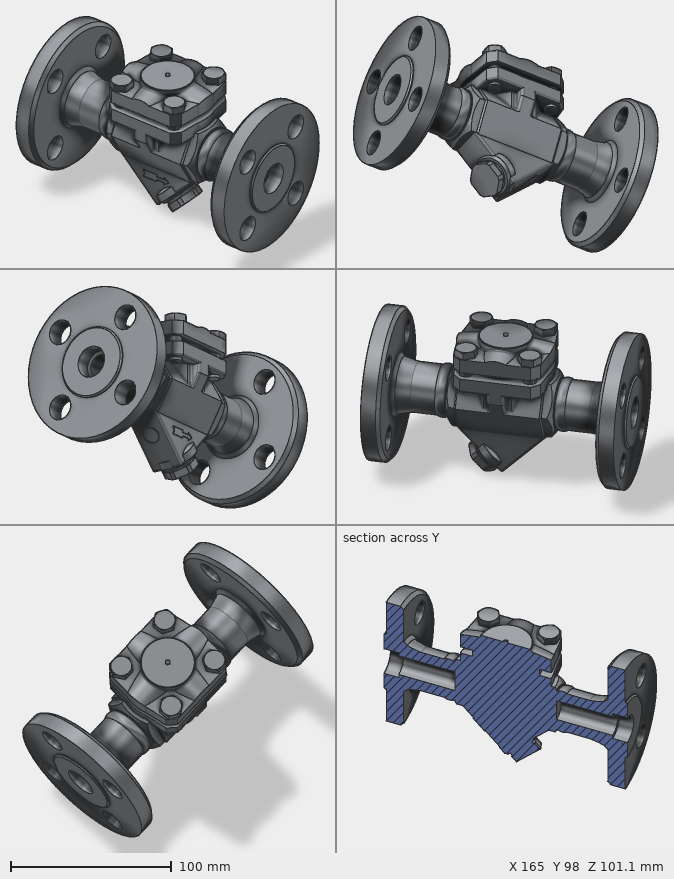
import cadquery as cq
import math

tolerance = 0.01

face_to_face = 165.0
flange_diameter = 98.0
flange_thickness = 12.0
flange_chamfer = 2.3
raised_face_diameter = 45.8
raised_face_height = 1.5
raised_face_chamfer = 1.0
flange_hole_diameter = 16.0
flange_hole_pitch = 49.5
bore_diameter = 20.0
bore_depth = 10.0
inner_bore_diameter = 15.0
neck_diameter = 32.0
neck_start = 41.6
hub_start = 57.2
hub_end = 66.6
hub_radius = 18.2
hub_mid_radius = 16.8
hub_root_radius = 20.5
bead_diameter = 34.0
bead_end = 35.2

end_hex_flats = 37.0
end_hex_half_length = 34.5
end_hex_face_radius = 16.9
end_hex_chamfer_length = 3.0
body_hex_flats = 39.2
body_half_length = 27.9
body_chamfer = 1.1
body_hex_corner = body_hex_flats / math.sqrt(3)
wedge_half_thickness = 11.2
wedge_reach = 47.6
wedge_edge_fillet = 1.4
pad_diameter = 10.8
pad_height = 0.7
pad_offset = 8.5

plate_half_width = 28.0
plate_half_length = 27.9
plate_corner = 5.1
side_bulge_start_x = 29.7
side_bulge_start_y = 8.0
side_bulge_x = 30.8
body_flange_bottom = 15.4
body_flange_top = 24.7
body_flange_fillet = 1.1
cover_bottom = 29.4
cover_top = 38.4
gasket_diameter = 45.8
cap_diameter = 34.0
cap_top = 43.9
cap_chamfer = 0.5
cap_root_fillet = 0.9
nub_diameter = 3.0
nub_top = 45.0
nub_fillet = 0.7
rib_radius = 15.0
rib_height_at_edge = 1.6
rib_slope = 0.17
rib_inner = 12.0

bolt_pitch = 41.0
bolt_diameter = 8.0
bolt_tip = 13.6
bolt_head_flats = 13.0
bolt_head_top = 43.3
bolt_head_chamfer = 0.5

neck_block_half = 21.3
neck_block_corner = 9.0
web_half_width = 5.4
web_edge_fillet = 1.7
web_root_fillet = 1.5
neck_root_fillet = 1.5

plug_offset = 20.3
plug_boss_diameter = 28.0
plug_boss_start = 26.7
plug_boss_end = 34.9
plug_boss_chamfer = 1.7
plug_boss_taper_length = 1.6
washer_diameter = 21.0
plug_head_start = 37.0
plug_head_end = 42.0
plug_head_flats = 21.0
plug_head_diameter = 22.8

arrow_height = 0.5
arrow_centre_z = -26.6
arrow_tail_x = -10.5
arrow_notch_x = -9.2
arrow_step_x = 0.0
arrow_head_x = 5.8
arrow_tip_x = 9.5
arrow_tail_half = 2.6
arrow_shaft_half = 1.1


def hexagon(workplane, across_flats, corner_angle):
    """Closed hexagon wire with one corner at the given angle in degrees."""
    corner_radius = across_flats / math.sqrt(3)
    angles = [math.radians(corner_angle + 60 * i) for i in range(6)]
    points = [(corner_radius * math.cos(a), corner_radius * math.sin(a)) for a in angles]
    return workplane.polyline(points).close()


def hex_bar(across_flats, half_length):
    """Hexagonal bar along X with corners at +Y and -Y."""
    return hexagon(cq.Workplane("YZ"), across_flats, 0).extrude(half_length, both=True)


def pipe_end():
    """Neck, hub, flange and raised face at +X, before boring."""
    face_x = face_to_face / 2
    flange_front = face_x - raised_face_height
    flange_back = flange_front - flange_thickness
    neck_radius = neck_diameter / 2
    flange_radius = flange_diameter / 2
    raised_radius = raised_face_diameter / 2
    hub_mid = (hub_start + hub_end) / 2
    bead_mid = (neck_start + bead_end) / 2
    profile = (
        cq.Workplane("XY")
        .moveTo(0, 0)
        .lineTo(0, neck_radius)
        .lineTo(bead_end, neck_radius)
        .threePointArc((bead_mid, bead_diameter / 2), (neck_start, neck_radius))
        .lineTo(hub_start, neck_radius)
        .threePointArc((hub_mid, hub_mid_radius), (hub_end, hub_radius))
        .lineTo(flange_back, hub_root_radius)
        .lineTo(flange_back, flange_radius - flange_chamfer)
        .lineTo(flange_back + flange_chamfer, flange_radius)
        .lineTo(flange_front, flange_radius)
        .lineTo(flange_front, raised_radius)
        .lineTo(face_x - raised_face_chamfer, raised_radius)
        .lineTo(face_x, raised_radius - raised_face_chamfer)
        .lineTo(face_x, 0)
        .close()
    )
    end = profile.revolve(360, (0, 0, 0), (1, 0, 0))
    holes = (
        cq.Workplane("YZ", origin=(flange_back, 0, 0))
        .rect(flange_hole_pitch, flange_hole_pitch, forConstruction=True)
        .vertices()
        .circle(flange_hole_diameter / 2)
        .extrude(flange_thickness)
    )
    return end.cut(holes)


def bore():
    """Stepped blind bore entering from the +X face."""
    face_x = face_to_face / 2
    outer = cq.Workplane("YZ", origin=(face_x, 0, 0)).circle(bore_diameter / 2).extrude(-bore_depth)
    inner_depth = face_x - end_hex_half_length
    inner = cq.Workplane("YZ", origin=(face_x, 0, 0)).circle(inner_bore_diameter / 2).extrude(-inner_depth)
    return outer.union(inner)


def both_ends(shape):
    return shape.union(shape.mirror("YZ"))


def hex_ends():
    """Wrench hexagon with turned conical chamfers at both ends."""
    corner_radius = end_hex_flats / math.sqrt(3)
    turned = (
        cq.Workplane("XY")
        .moveTo(-end_hex_half_length, 0)
        .lineTo(-end_hex_half_length, end_hex_face_radius)
        .lineTo(end_hex_chamfer_length - end_hex_half_length, corner_radius)
        .lineTo(end_hex_half_length - end_hex_chamfer_length, corner_radius)
        .lineTo(end_hex_half_length, end_hex_face_radius)
        .lineTo(end_hex_half_length, 0)
        .close()
        .revolve(360, (0, 0, 0), (1, 0, 0))
    )
    return hex_bar(end_hex_flats, end_hex_half_length).intersect(turned)


def middle_body():
    return hex_bar(body_hex_flats, body_half_length).faces("<X or >X").chamfer(body_chamfer)


def wedge():
    """Triangular clean-out housing below the body."""
    top_z = -body_hex_flats / 2 + body_chamfer
    half_top = wedge_reach + top_z
    outline = [(-half_top, top_z), (half_top, top_z), (0, -wedge_reach)]
    block = cq.Workplane("XZ").polyline(outline).close().extrude(wedge_half_thickness, both=True)
    block = block.edges("|Y").edges("<Z").fillet(wedge_edge_fillet)
    block = block.faces("<Y or >Y").edges("not(|X)").fillet(wedge_edge_fillet)
    pad_distance = wedge_reach / math.sqrt(2)
    pad_plane = cq.Plane(
        origin=((pad_offset - pad_distance) / math.sqrt(2), 0, -(pad_offset + pad_distance) / math.sqrt(2)),
        xDir=(0, 1, 0),
        normal=(-1, 0, -1),
    )
    pad = (
        cq.Workplane(pad_plane)
        .workplane(offset=-pad_height)
        .circle(pad_diameter / 2)
        .extrude(2 * pad_height)
    )
    return block.union(pad)


def flow_arrow():
    upper = [
        (arrow_notch_x, 0),
        (arrow_tail_x, arrow_tail_half),
        (arrow_step_x, arrow_tail_half),
        (arrow_step_x, arrow_shaft_half),
        (arrow_head_x, arrow_shaft_half),
        (arrow_head_x, arrow_tail_half),
        (arrow_tip_x, 0),
    ]
    lower = [(x, -z) for x, z in reversed(upper[1:-1])]
    plane = cq.Workplane("XZ", origin=(0, -wedge_half_thickness + arrow_height, arrow_centre_z))
    return plane.polyline(upper + lower).close().extrude(2 * arrow_height)


def plate(bottom, top):
    """Cover outline: chamfered corners, straight +Y and -Y sides, bulged +X and -X sides."""
    corner_x = plate_half_length - plate_corner
    corner_y = plate_half_width - plate_corner
    return (
        cq.Workplane("XY", origin=(0, 0, bottom))
        .moveTo(-corner_x, -plate_half_width)
        .lineTo(corner_x, -plate_half_width)
        .lineTo(plate_half_length, -corner_y)
        .lineTo(side_bulge_start_x, -side_bulge_start_y)
        .threePointArc((side_bulge_x, 0), (side_bulge_start_x, side_bulge_start_y))
        .lineTo(plate_half_length, corner_y)
        .lineTo(corner_x, plate_half_width)
        .lineTo(-corner_x, plate_half_width)
        .lineTo(-plate_half_length, corner_y)
        .lineTo(-side_bulge_start_x, side_bulge_start_y)
        .threePointArc((-side_bulge_x, 0), (-side_bulge_start_x, -side_bulge_start_y))
        .lineTo(-plate_half_length, -corner_y)
        .close()
        .extrude(top - bottom)
    )


def body_flange():
    return plate(body_flange_bottom, body_flange_top).faces("<Z").edges().fillet(body_flange_fillet)


def web():
    """Central rib across Y that carries the body flange, rounded along its two ends."""
    web_rise = math.sqrt(3) * (plate_half_width - body_hex_corner)
    outline = [
        (-body_hex_corner, 0),
        (-plate_half_width, web_rise),
        (-plate_half_width, body_flange_top),
        (plate_half_width, body_flange_top),
        (plate_half_width, web_rise),
        (body_hex_corner, 0),
    ]
    block = cq.Workplane("YZ").polyline(outline).close().extrude(web_half_width, both=True)
    end_edges = block.faces("<X or >X").edges("not(#Z)")
    return end_edges.fillet(web_edge_fillet)


def neck_block():
    """Octagonal neck joined to the web with rounded inner corners."""
    a = neck_block_half
    b = neck_block_corner
    octagon = [(b, -a), (a, -b), (a, b), (b, a), (-b, a), (-a, b), (-a, -b), (-b, -a)]
    neck = cq.Workplane("XY").polyline(octagon).close().extrude(body_flange_bottom + body_flange_fillet)
    joined = neck.union(web())
    inner_corners = joined.edges("|Z").filter(
        lambda edge: abs(abs(edge.Center().x) - web_half_width) < tolerance
        and abs(abs(edge.Center().y) - neck_block_half) < tolerance
    )
    return inner_corners.fillet(web_root_fillet)


def is_neck_root(edge):
    """True for an edge where the neck meets an upper slanted face of the body hexagon."""
    middle = edge.positionAt(0.5)
    slant_y = body_hex_corner - middle.z / math.sqrt(3)
    on_slant = abs(abs(middle.y) - slant_y) < tolerance
    return on_slant and tolerance < middle.z < body_flange_bottom and abs(middle.x) < neck_block_half


def body():
    """Hexagonal body and neck with the joint between them rounded."""
    joined = middle_body().union(neck_block())
    return joined.edges().filter(is_neck_root).fillet(neck_root_fillet)


def cover_ribs():
    """Four rounded ribs that rise from the cover edge toward the cap."""
    tilt = math.degrees(math.atan(rib_slope))
    axis_z = cover_top + rib_height_at_edge - rib_radius * math.hypot(1, rib_slope)
    rib_base = (cover_bottom + cover_top) / 2
    envelope = plate(cover_bottom, cap_top)
    ribs = None
    for turn in range(4):
        edge_distance = side_bulge_x if turn % 2 == 0 else plate_half_width
        rod = (
            cq.Workplane("YZ")
            .circle(rib_radius)
            .extrude(2 * rib_radius, both=True)
            .rotate((0, 0, 0), (0, 1, 0), tilt)
            .translate((edge_distance, 0, axis_z))
        )
        zone = cq.Workplane("XY", origin=(rib_inner, -rib_radius, rib_base)).box(
            2 * rib_radius, 2 * rib_radius, cap_top - rib_base, centered=False
        )
        rib = rod.intersect(zone).rotate((0, 0, 0), (0, 0, 1), 90 * turn)
        ribs = rib if ribs is None else ribs.union(rib)
    return ribs.intersect(envelope)


def is_cap_root(edge):
    """True for an edge at the foot of the cap's side wall."""
    middle = edge.positionAt(0.5)
    on_wall = abs(math.hypot(middle.x, middle.y) - cap_diameter / 2) < tolerance
    return on_wall and edge.BoundingBox().zmax < cap_top - cap_chamfer - tolerance


def cover():
    cap = (
        cq.Workplane("XY", origin=(0, 0, cover_bottom))
        .circle(cap_diameter / 2)
        .extrude(cap_top - cover_bottom)
        .faces(">Z")
        .chamfer(cap_chamfer)
    )
    nub = (
        cq.Workplane("XY", origin=(0, 0, cover_top))
        .circle(nub_diameter / 2)
        .extrude(nub_top - cover_top)
        .faces(">Z")
        .fillet(nub_fillet)
    )
    domed = plate(cover_bottom, cover_top).union(cover_ribs()).union(cap)
    return domed.edges().filter(is_cap_root).fillet(cap_root_fillet).union(nub)


def gasket():
    return (
        cq.Workplane("XY", origin=(0, 0, body_flange_top))
        .circle(gasket_diameter / 2)
        .extrude(cover_bottom - body_flange_top)
    )


def bolt(x, y, corner_angle):
    """Hexagon-head bolt whose tip shows below the body flange."""
    tip_plane = cq.Workplane("XY", origin=(0, 0, bolt_tip))
    seat_plane = cq.Workplane("XY", origin=(0, 0, cover_top))
    shank = tip_plane.circle(bolt_diameter / 2).extrude(cover_top - bolt_tip)
    head_height = bolt_head_top - cover_top
    head = hexagon(seat_plane, bolt_head_flats, corner_angle).extrude(head_height)
    turned = (
        seat_plane.circle(bolt_head_flats / math.sqrt(3))
        .extrude(head_height)
        .faces(">Z")
        .chamfer(bolt_head_chamfer, 2 * bolt_head_chamfer)
    )
    return shank.union(head.intersect(turned)).translate((x, y, 0))


def plug():
    """Drain plug: tapered boss, round washer and hexagonal head with turned corners."""
    origin_shift = -plug_offset / math.sqrt(2)
    axis_plane = cq.Plane(origin=(origin_shift, 0, origin_shift), xDir=(0, 1, 0), normal=(1, 0, -1))

    def at(distance):
        return cq.Workplane(axis_plane).workplane(offset=distance)

    boss_radius = plug_boss_diameter / 2
    boss = at(plug_boss_start).circle(boss_radius).extrude(plug_boss_end - plug_boss_start)
    boss = boss.faces(">(1,0,-1)").chamfer(plug_boss_chamfer)
    taper = boss_radius - wedge_half_thickness
    boss = boss.faces("<(1,0,-1)").chamfer(plug_boss_taper_length, taper)
    washer = at(plug_boss_start).circle(washer_diameter / 2).extrude(plug_head_start - plug_boss_start)
    head_length = plug_head_end - plug_head_start
    head_hex = hexagon(at(plug_head_start), plug_head_flats, 30).extrude(head_length)
    head_round = at(plug_head_start).circle(plug_head_diameter / 2).extrude(head_length)
    return boss.union(washer).union(head_hex.intersect(head_round))


result = both_ends(pipe_end()).union(hex_ends()).union(body())
result = result.union(body_flange()).union(wedge()).union(flow_arrow()).union(plug())
result = result.union(gasket()).union(cover())
for side_x in (-1, 1):
    for side_y in (-1, 1):
        head_angle = 30 if side_x == side_y else 0
        result = result.union(bolt(side_x * bolt_pitch / 2, side_y * bolt_pitch / 2, head_angle))
result = result.cut(both_ends(bore()))